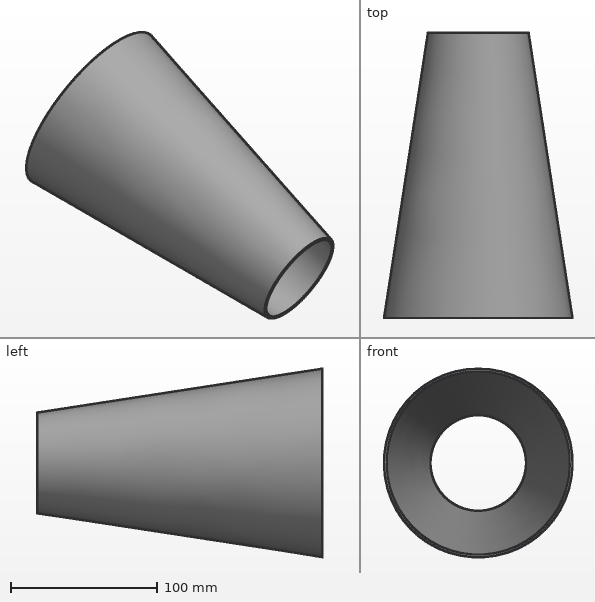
import cadquery as cq

length = 195.0
wide_diameter = 129.0
narrow_diameter = 69.0
wall = 2.0

wide_radius = wide_diameter / 2
narrow_radius = narrow_diameter / 2

wall_section = (
    cq.Workplane("YZ")
    .moveTo(0, wide_radius - wall)
    .lineTo(0, wide_radius)
    .lineTo(length, narrow_radius)
    .lineTo(length, narrow_radius - wall)
    .close()
)

result = wall_section.revolve(360, (0, 0, 0), (1, 0, 0))